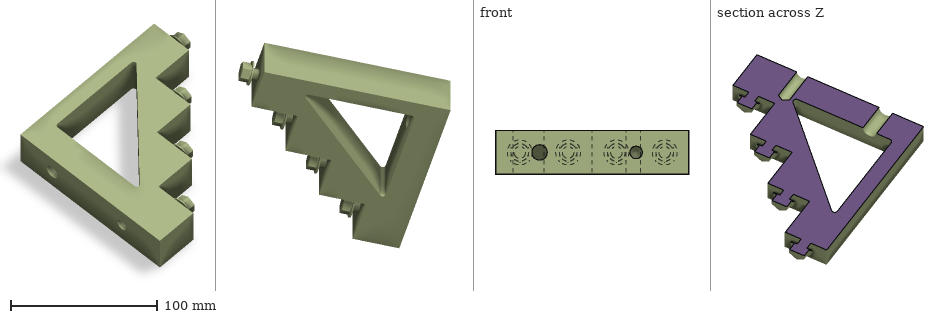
import cadquery as cq
import math

STEP_COUNT = 4
BLOCK_SIDE = 132.0
STEP = BLOCK_SIDE / STEP_COUNT
THICKNESS = 30.0
MID_Z = THICKNESS / 2

WINDOW_X = 12.0
WINDOW_Y = 22.1
WINDOW_LEG = 80.0
WINDOW_CORNER_RADIUS = 2.0

CLEARANCE_HOLE_DIAMETER = 10.5
CLEARANCE_HOLE_X = 30.0
BLIND_HOLE_DIAMETER = 8.5
BLIND_HOLE_X = CLEARANCE_HOLE_X + 2 * STEP
BLIND_HOLE_DEPTH = 25.0
DRILL_POINT_ANGLE = 118

OVERALL_Y = 144.3
SHANK_DIAMETER = 8.0
SHANK_HEIGHT = 4.9
WASHER_DIAMETER = 17.0
WASHER_THICKNESS = 1.0
COLLAR_DIAMETER = 12.0
COLLAR_HEIGHT = 0.7
HEAD_ACROSS_FLATS = 12.0
HEAD_HEIGHT = OVERALL_Y - BLOCK_SIDE - SHANK_HEIGHT - WASHER_THICKNESS - COLLAR_HEIGHT


def stepped_block():
    outline = [(0, 0), (BLOCK_SIDE, 0)]
    for level in range(1, STEP_COUNT + 1):
        riser_x = BLOCK_SIDE - (level - 1) * STEP
        outline.append((riser_x, level * STEP))
        outline.append((riser_x - STEP, level * STEP))
    return cq.Workplane("XY").polyline(outline).close().extrude(THICKNESS)


def window():
    corners = [
        (WINDOW_X, WINDOW_Y),
        (WINDOW_X + WINDOW_LEG, WINDOW_Y),
        (WINDOW_X, WINDOW_Y + WINDOW_LEG),
    ]
    prism = cq.Workplane("XY").polyline(corners).close().extrude(THICKNESS)
    return prism.edges("|Z").fillet(WINDOW_CORNER_RADIUS)


def along_y(x, y):
    """Workplane facing +Y, centred on the mid-thickness at (x, y)."""
    return cq.Workplane(cq.Plane(origin=(x, y, MID_Z), xDir=(1, 0, 0), normal=(0, 1, 0)))


def clearance_hole():
    """Plain hole from the -Y face into the window."""
    return along_y(CLEARANCE_HOLE_X, 0).circle(CLEARANCE_HOLE_DIAMETER / 2).extrude(WINDOW_Y)


def blind_hole():
    """Drilled hole with a conical bottom."""
    radius = BLIND_HOLE_DIAMETER / 2
    point_height = radius / math.tan(math.radians(DRILL_POINT_ANGLE / 2))
    half_profile = [
        (0, 0),
        (radius, 0),
        (radius, BLIND_HOLE_DEPTH),
        (0, BLIND_HOLE_DEPTH + point_height),
    ]
    drill = cq.Workplane("XY").polyline(half_profile).close().revolve(360, (0, 0), (0, 1))
    return drill.translate((BLIND_HOLE_X, 0, MID_Z))


def bolt(x, y):
    """Hex bolt rising in +Y, with a corner of its head pointing up in Z."""
    washer_y = y + SHANK_HEIGHT
    collar_y = washer_y + WASHER_THICKNESS
    head_y = collar_y + COLLAR_HEIGHT
    shank = along_y(x, y).circle(SHANK_DIAMETER / 2).extrude(SHANK_HEIGHT)
    washer = along_y(x, washer_y).circle(WASHER_DIAMETER / 2).extrude(WASHER_THICKNESS)
    collar = along_y(x, collar_y).circle(COLLAR_DIAMETER / 2).extrude(COLLAR_HEIGHT)
    head = along_y(x, head_y).polygon(6, HEAD_ACROSS_FLATS, circumscribed=True).extrude(HEAD_HEIGHT)
    return shank.union(washer).union(collar).union(head)


result = stepped_block().cut(window()).cut(clearance_hole()).cut(blind_hole())
for level in range(1, STEP_COUNT + 1):
    step_centre_x = BLOCK_SIDE - (level - 0.5) * STEP
    result = result.union(bolt(step_centre_x, level * STEP))